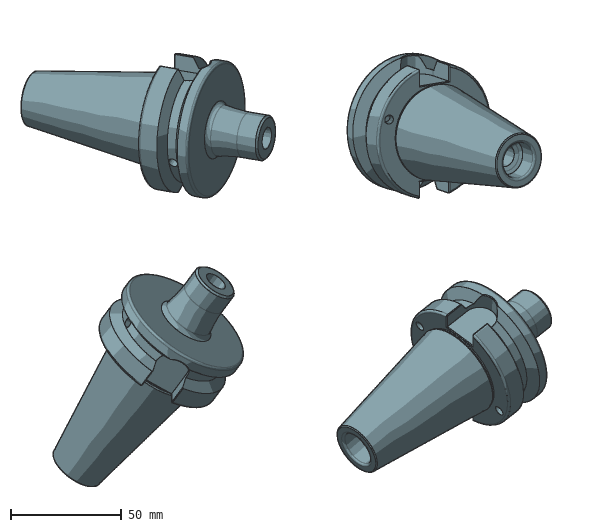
import cadquery as cq
import math

TOTAL_LENGTH = 117.4
GAUGE_X = 65.4
GAUGE_RADIUS = 44.5 / 2
TAPER_SLOPE = 7 / 24 / 2
SHANK_EDGE_CHAMFER = 0.5
NECK_RADIUS = 43.7 / 2
NECK_LENGTH = 0.7

FLANGE_X = 67.3
FLANGE_END_X = 92.4
FRONT_LAND_RADIUS = 31.3
REAR_LAND_RADIUS = 63.0 / 2
GROOVE_X = 82.0
GROOVE_HALF_MOUTH = 5.2
GROOVE_FLOOR_RADIUS = 26.3
GROOVE_HALF_ANGLE = math.radians(30)
FLANGE_EDGE_RADIUS = 1.0

NOSE_RADIUS = 21.0 / 2
NOSE_CYLINDER_X = 107.2
NOSE_CHAMFER = 0.9
NOSE_ROOT_X = 94.7
NOSE_ROOT_RADIUS = 11.9
NOSE_BASE_RADIUS = 13.4

MOUTH_ROUND = 1.0
PILOT_RADIUS = 8.3
PILOT_END_X = 9.0
SEAT_X = 10.1
SEAT_RADIUS = 6.9
BORE_RADIUS = 5.0
BORE_X = 11.0

SLOT_HALF_WIDTH = 16.1 / 2
SLOT_FLOOR = 22.4
SLOT_END_X = 88.4
SLOT_CHAMFER = 0.41

HOLE_DIAMETER = 4.1
CROSS_HOLE_DIAMETER = 4.3
HOLE_ANGLE = 20.0
HOLE_FACE_RADIUS = 26.8
HOLE_TILT = math.radians(30)

ARC_MIDPOINT = 1 - math.sqrt(0.5)
TOLERANCE = 0.01


def body():
    """Solid of revolution: taper shank, grooved flange and nose."""
    start_radius = GAUGE_RADIUS - GAUGE_X * TAPER_SLOPE
    neck_x = FLANGE_X - NECK_LENGTH
    taper_end_x = neck_x - NECK_LENGTH
    taper_end_radius = GAUGE_RADIUS + (taper_end_x - GAUGE_X) * TAPER_SLOPE
    front_wall = (FRONT_LAND_RADIUS - GROOVE_FLOOR_RADIUS) * math.tan(GROOVE_HALF_ANGLE)
    rear_wall = (REAR_LAND_RADIUS - GROOVE_FLOOR_RADIUS) * math.tan(GROOVE_HALF_ANGLE)
    groove_start = GROOVE_X - GROOVE_HALF_MOUTH
    groove_end = GROOVE_X + GROOVE_HALF_MOUTH
    edge = FLANGE_EDGE_RADIUS
    edge_mid = edge * ARC_MIDPOINT
    root_round = NOSE_ROOT_X - FLANGE_END_X
    flare_length = NOSE_CYLINDER_X - NOSE_ROOT_X
    flare_rise = NOSE_ROOT_RADIUS - NOSE_RADIUS
    flare_round = (flare_length**2 + flare_rise**2) / (2 * flare_rise)
    return (
        cq.Workplane("XY")
        .moveTo(0, 0)
        .lineTo(0, start_radius - SHANK_EDGE_CHAMFER)
        .lineTo(SHANK_EDGE_CHAMFER, start_radius + SHANK_EDGE_CHAMFER * TAPER_SLOPE)
        .lineTo(taper_end_x, taper_end_radius)
        .lineTo(neck_x, NECK_RADIUS)
        .lineTo(FLANGE_X, NECK_RADIUS)
        .lineTo(FLANGE_X, FRONT_LAND_RADIUS - edge)
        .threePointArc(
            (FLANGE_X + edge_mid, FRONT_LAND_RADIUS - edge_mid),
            (FLANGE_X + edge, FRONT_LAND_RADIUS),
        )
        .lineTo(groove_start, FRONT_LAND_RADIUS)
        .lineTo(groove_start + front_wall, GROOVE_FLOOR_RADIUS)
        .lineTo(groove_end - rear_wall, GROOVE_FLOOR_RADIUS)
        .lineTo(groove_end, REAR_LAND_RADIUS)
        .lineTo(FLANGE_END_X - edge, REAR_LAND_RADIUS)
        .threePointArc(
            (FLANGE_END_X - edge_mid, REAR_LAND_RADIUS - edge_mid),
            (FLANGE_END_X, REAR_LAND_RADIUS - edge),
        )
        .lineTo(FLANGE_END_X, NOSE_BASE_RADIUS)
        .radiusArc((NOSE_ROOT_X, NOSE_ROOT_RADIUS), -root_round)
        .radiusArc((NOSE_CYLINDER_X, NOSE_RADIUS), -flare_round)
        .lineTo(TOTAL_LENGTH - NOSE_CHAMFER, NOSE_RADIUS)
        .lineTo(TOTAL_LENGTH, NOSE_RADIUS - NOSE_CHAMFER)
        .lineTo(TOTAL_LENGTH, 0)
        .close()
        .revolve(360, (0, 0, 0), (1, 0, 0))
    )


def bore():
    """Through bore with a rounded mouth and a step that narrows in two cones."""
    round_mid = MOUTH_ROUND * ARC_MIDPOINT
    return (
        cq.Workplane("XY")
        .moveTo(0, 0)
        .lineTo(0, PILOT_RADIUS + MOUTH_ROUND)
        .threePointArc((round_mid, PILOT_RADIUS + round_mid), (MOUTH_ROUND, PILOT_RADIUS))
        .lineTo(PILOT_END_X, PILOT_RADIUS)
        .lineTo(SEAT_X, SEAT_RADIUS)
        .lineTo(BORE_X, BORE_RADIUS)
        .lineTo(TOTAL_LENGTH, BORE_RADIUS)
        .lineTo(TOTAL_LENGTH, 0)
        .close()
        .revolve(360, (0, 0, 0), (1, 0, 0))
    )


def drive_slot():
    """Round-ended slot on the +Z side, open towards the shank."""
    arc_x = SLOT_END_X - SLOT_HALF_WIDTH
    return (
        cq.Workplane("XY", origin=(0, 0, SLOT_FLOOR))
        .moveTo(GAUGE_X, -SLOT_HALF_WIDTH)
        .lineTo(arc_x, -SLOT_HALF_WIDTH)
        .threePointArc((SLOT_END_X, 0), (arc_x, SLOT_HALF_WIDTH))
        .lineTo(GAUGE_X, SLOT_HALF_WIDTH)
        .close()
        .extrude(REAR_LAND_RADIUS)
    )


def slot_edges(part):
    """Sharp edges of both slots on the flange face and on the two lands."""
    lands = (FRONT_LAND_RADIUS, REAR_LAND_RADIUS)

    def is_slot_edge(edge):
        center = edge.Center()
        if abs(center.z) < SLOT_FLOOR - TOLERANCE or abs(center.y) > SLOT_HALF_WIDTH + TOLERANCE:
            return False
        on_face = abs(center.x - FLANGE_X) < TOLERANCE and edge.geomType() == "LINE"
        ends = (edge.startPoint(), edge.endPoint())
        end_radii = [math.hypot(point.y, point.z) for point in ends]
        on_land = any(all(abs(radius - land) < TOLERANCE for radius in end_radii) for land in lands)
        return on_face or (on_land and edge.geomType() != "CIRCLE")

    return part.newObject([edge for edge in part.edges().vals() if is_slot_edge(edge)])


def coolant_hole():
    """Hole on the +Y side, sloping from the flange face into a cross hole between groove and bore."""
    run = GROOVE_X - FLANGE_X
    axis = cq.Vector(math.cos(HOLE_TILT), -math.sin(HOLE_TILT), 0)
    lead_in = HOLE_DIAMETER
    sloping = cq.Solid.makeCylinder(
        HOLE_DIAMETER / 2,
        run / math.cos(HOLE_TILT) + lead_in,
        cq.Vector(FLANGE_X, HOLE_FACE_RADIUS, 0) - axis * lead_in,
        axis,
    )
    cross = cq.Solid.makeCylinder(
        CROSS_HOLE_DIAMETER / 2, REAR_LAND_RADIUS, cq.Vector(GROOVE_X, 0, 0), cq.Vector(0, 1, 0)
    )
    return cq.Workplane(sloping).union(cq.Workplane(cross)).rotate((0, 0, 0), (1, 0, 0), HOLE_ANGLE)


HALF_TURNS = (0, 180)

result = body().cut(bore())
for turn in HALF_TURNS:
    result = result.cut(drive_slot().rotate((0, 0, 0), (1, 0, 0), turn))
result = slot_edges(result).chamfer(SLOT_CHAMFER)
for turn in HALF_TURNS:
    result = result.cut(coolant_hole().rotate((0, 0, 0), (1, 0, 0), turn))